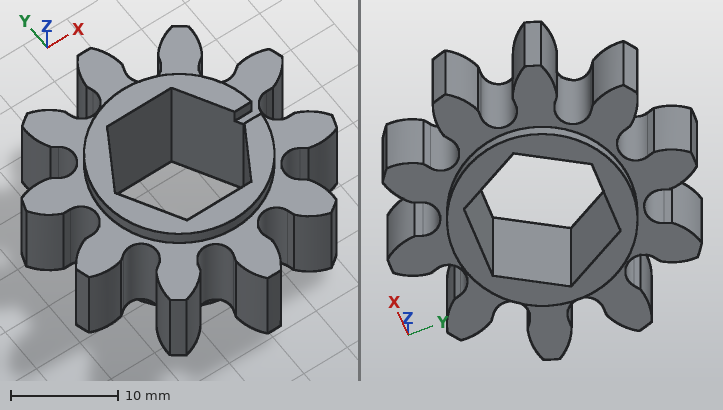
import cadquery as cq
import math

tooth_count = 10
tip_radius = 15.25
tip_half_width = 0.75
gap_radius = 1.75
gap_center_radius = 11.28
flank_start = 12.05
flank_mid_half_width = 1.68
flank_mid_height = 13.72

total_height = 12.65
gear_height = 9.5
hub_radius = 8.9
hub_step = (total_height - gear_height) / 2

hex_across_flats = 12.8
hex_across_corners = hex_across_flats / math.cos(math.pi / 6)
hub_slot_width = 1.6

tooth_pitch = 360 / tooth_count


def turned(point, degrees):
    """Rotate a point about the gear axis."""
    angle = math.radians(degrees)
    x, y = point
    return (
        x * math.cos(angle) - y * math.sin(angle),
        x * math.sin(angle) + y * math.cos(angle),
    )


def gear_outline():
    """Tooth profile: a round-bottomed gap and two curved flanks per pitch, with arcs over the tips."""
    half_pitch = tooth_pitch / 2
    tip_axial = math.sqrt(tip_radius**2 - tip_half_width**2)
    gap_bottom = (gap_center_radius - gap_radius, 0)
    tip_middle = turned((tip_radius, 0), half_pitch)

    gap_side = (gap_center_radius, gap_radius)
    flank_root = (flank_start, gap_radius)
    flank_mid = turned((flank_mid_height, -flank_mid_half_width), half_pitch)
    tip_corner = turned((tip_axial, -tip_half_width), half_pitch)

    def mirrored(point):
        return (point[0], -point[1])

    outline = cq.Workplane("XY").moveTo(*mirrored(tip_corner))
    for index in range(tooth_count):
        angle = index * tooth_pitch
        next_tip_corner = turned(mirrored(tip_corner), angle + tooth_pitch)
        outline = (
            outline
            .threePointArc(turned(mirrored(flank_mid), angle), turned(mirrored(flank_root), angle))
            .lineTo(*turned(mirrored(gap_side), angle))
            .threePointArc(turned(gap_bottom, angle), turned(gap_side, angle))
            .lineTo(*turned(flank_root, angle))
            .threePointArc(turned(flank_mid, angle), turned(tip_corner, angle))
            .threePointArc(turned(tip_middle, angle), next_tip_corner)
        )
    return outline.close()


gear = gear_outline().extrude(gear_height / 2, both=True)
hub = cq.Workplane("XY").circle(hub_radius).extrude(total_height / 2, both=True)

bore = cq.Workplane("XY").polygon(6, hex_across_corners).extrude(total_height / 2, both=True)

hub_slot = (
    cq.Workplane("XY")
    .workplane(offset=gear_height / 2)
    .rect(2 * hub_radius, hub_slot_width)
    .extrude(hub_step)
    .translate((hub_radius, 0, 0))
)

result = gear.union(hub).cut(bore).cut(hub_slot)